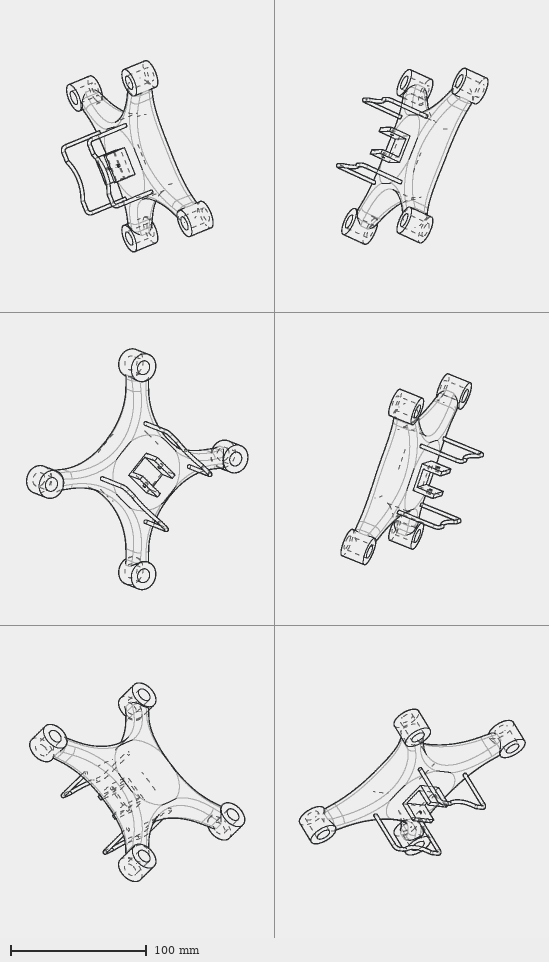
import cadquery as cq
import math

span = 178.7
overall_depth = 59.1

boss_radius = 10.5
bore_radius = 5.2
boss_depth = 18.4
boss_distance = span / 2 - boss_radius

body_depth = 26.3
flat_radius = 28.5
arm_half_width = 6.3
side_centre = 57.9
arm_spread = math.radians(3)
arm_tip_reach = 68.5
arm_tip_half_depth = 8.2
edge_fillet = 4.3

rod_radius = 1.5
leg_distance = 37.2
skid_bend_radius = 3.2
foot_length = 10.5
wave_height = 3.4
leg_embed = 5.4

bracket_side = 21.3
bracket_depth = 16.3
plate_thickness = 3.4
web_thickness = 2.1
screw_radius = 1.0
screw_offset = 9.6

front_face = -body_depth / 2


def arm_outline():
    """Cross outline with concave sides that flare into the bosses."""
    side_radius = side_centre - arm_half_width
    side_mid = side_centre - side_radius * math.sqrt(0.5)
    sine = math.sin(arm_spread)
    cosine = math.cos(arm_spread)
    side_end = (side_centre + side_radius * sine, side_centre - side_radius * cosine)
    arm_tip = (arm_tip_reach, side_end[1] + (arm_tip_reach - side_end[0]) * math.tan(arm_spread))

    gap = boss_distance - arm_tip_reach
    tip_rise = gap * sine + arm_tip[1] * cosine
    flare_radius = (gap**2 + arm_tip[1] ** 2 - boss_radius**2) / (2 * (boss_radius - tip_rise))
    flare_centre = (arm_tip_reach - flare_radius * sine, arm_tip[1] + flare_radius * cosine)
    boss_share = boss_radius / (boss_radius + flare_radius)
    flare_end = (
        boss_distance + (flare_centre[0] - boss_distance) * boss_share,
        flare_centre[1] * boss_share,
    )
    end_angle = math.atan2(flare_end[0] - flare_centre[0], flare_centre[1] - flare_end[1])
    mid_angle = (arm_spread + end_angle) / 2
    flare_mid = (
        flare_centre[0] + flare_radius * math.sin(mid_angle),
        flare_centre[1] - flare_radius * math.cos(mid_angle),
    )

    outline = cq.Workplane("XZ").moveTo(boss_distance, flare_end[1])
    for quarter in range(4):
        turn = math.radians(90 * quarter)

        def turned(x, z):
            return (x * math.cos(turn) - z * math.sin(turn), x * math.sin(turn) + z * math.cos(turn))

        outline = (
            outline.lineTo(*turned(*flare_end))
            .threePointArc(turned(*flare_mid), turned(*arm_tip))
            .lineTo(*turned(*side_end))
            .threePointArc(turned(side_mid, side_mid), turned(*side_end[::-1]))
            .lineTo(*turned(*arm_tip[::-1]))
            .threePointArc(turned(*flare_mid[::-1]), turned(*flare_end[::-1]))
            .lineTo(*turned(flare_end[1], boss_distance))
            .lineTo(*turned(-flare_end[1], boss_distance))
        )
    return outline.close()


def make_body():
    """Arms tapering in depth from the flat centre, with rounded edges."""
    half_depth = body_depth / 2
    taper = (half_depth - arm_tip_half_depth) / (arm_tip_reach - flat_radius)
    rim_radius = span / 2
    rim_half_depth = half_depth - taper * (rim_radius - flat_radius)
    apex_half_depth = half_depth + taper * flat_radius

    double_cone = (
        cq.Workplane("XY")
        .moveTo(0, -apex_half_depth)
        .lineTo(rim_radius, -rim_half_depth)
        .lineTo(rim_radius, rim_half_depth)
        .lineTo(0, apex_half_depth)
        .close()
        .revolve(360, (0, 0, 0), (0, 1, 0))
        .rotate((0, 0, 0), (0, 1, 0), -90)
    )
    arms = arm_outline().extrude(apex_half_depth, both=True).intersect(double_cone)

    def is_outline_edge(edge):
        centre = edge.Center()
        across, along = sorted((abs(centre.x), abs(centre.z)))
        return across > arm_half_width / 2 and along < boss_distance - arm_half_width / 2

    rounded_arms = arms.edges("not |Y").filter(is_outline_edge).fillet(edge_fillet)
    return rounded_arms.intersect(cq.Workplane("XY").box(span, body_depth, span))


def tip_cylinders(radius, depth):
    """Four cylinders along Y, one centred on each arm tip."""
    return (
        cq.Workplane("XZ", origin=(0, depth / 2, 0))
        .polarArray(boss_distance, 0, 360, 4)
        .circle(radius)
        .extrude(depth)
    )


def make_skid():
    """Rod frame along X: two legs joined by a foot rail with a raised wave."""
    half_length = leg_distance / math.sqrt(2)
    foot_y = body_depth / 2 - overall_depth + rod_radius
    leg_top = front_face + leg_embed
    bend_y = foot_y + skid_bend_radius
    bend_x = half_length - skid_bend_radius
    bend_mid_x = bend_x + skid_bend_radius * math.sqrt(0.5)
    bend_mid_y = bend_y - skid_bend_radius * math.sqrt(0.5)
    wave_end = half_length - foot_length

    path = (
        cq.Workplane("XY")
        .moveTo(-half_length, leg_top)
        .lineTo(-half_length, bend_y)
        .threePointArc((-bend_mid_x, bend_mid_y), (-bend_x, foot_y))
        .lineTo(-wave_end, foot_y)
        .threePointArc((0, foot_y + wave_height), (wave_end, foot_y))
        .lineTo(bend_x, foot_y)
        .threePointArc((bend_mid_x, bend_mid_y), (half_length, bend_y))
        .lineTo(half_length, leg_top)
    )
    section = cq.Workplane("XZ", origin=(-half_length, leg_top, 0)).circle(rod_radius)
    return section.sweep(path, transition="round")


def make_bracket():
    """Open channel along X: a web on the body and two drilled plates."""
    block = cq.Workplane("XY").box(bracket_side, bracket_depth, bracket_side)
    channel_width = bracket_side - 2 * plate_thickness
    channel = cq.Workplane("XY").box(bracket_side, bracket_depth, channel_width)
    bracket = block.cut(channel.translate((0, -web_thickness, 0)))
    bracket = bracket.translate((0, front_face - bracket_depth / 2, 0))
    screw_hole = (
        cq.Workplane("XY")
        .center(0, front_face - screw_offset)
        .circle(screw_radius)
        .extrude(bracket_side, both=True)
    )
    return bracket.cut(screw_hole)


skid = make_skid()
skid_offset = leg_distance / math.sqrt(2)
fittings = make_bracket()
for side in (-1, 1):
    fittings = fittings.add(skid.translate((0, 0, side * skid_offset)))
fittings = fittings.combine().rotate((0, 0, 0), (0, 1, 0), 45)

bosses = tip_cylinders(boss_radius, boss_depth)
bores = tip_cylinders(bore_radius, boss_depth)
result = make_body().union(bosses).union(fittings).cut(bores)